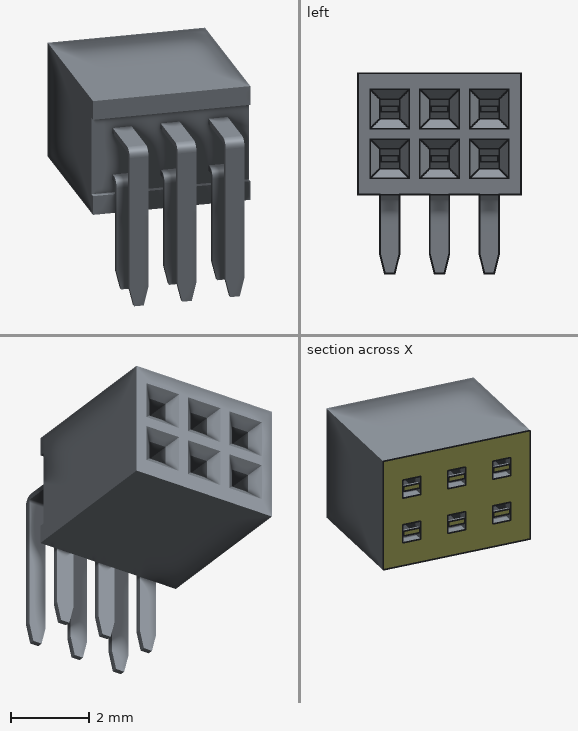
import cadquery as cq

PITCH = 1.27
COLUMNS = 3

BODY_LENGTH = 4.40
BODY_WIDTH = 4.16
BODY_HEIGHT = 3.10
RECESS_DEPTH = 0.15
LIP_HEIGHT = 0.51

FUNNEL_MOUTH = 1.00
SOCKET_SIZE = 0.50
SOCKET_DEPTH = 3.50

PIN_WIDTH = 0.50
PIN_THICKNESS = 0.15
BEND_INNER_RADIUS = 0.08
OVERALL_LENGTH = 5.89
TAIL_LENGTH = 2.02
TAIL_TAPER_LENGTH = 0.50
TAIL_TIP_WIDTH = 0.25
CONTACT_LENGTH = 0.20
CONTACT_TIP_WIDTH = 0.425
CONTACT_TAPER_LENGTH = 0.15

BACK_X = BODY_LENGTH - RECESS_DEPTH
FUNNEL_DEPTH = (FUNNEL_MOUTH - SOCKET_SIZE) / 2
CONTACT_TIP_X = SOCKET_DEPTH - CONTACT_LENGTH
LOWER_ROW_Z = (BODY_HEIGHT - PITCH) / 2
COLUMN_YS = [(i - (COLUMNS - 1) / 2) * PITCH for i in range(COLUMNS)]
ROWS = [
    (LOWER_ROW_Z, OVERALL_LENGTH - PITCH),
    (LOWER_ROW_Z + PITCH, OVERALL_LENGTH),
]


def make_housing():
    """Plain block with a full-width recess between two lips at the back."""
    block = cq.Workplane("XY").box(BODY_LENGTH, BODY_WIDTH, BODY_HEIGHT, centered=(False, True, False))
    recess = (
        cq.Workplane("XY")
        .box(RECESS_DEPTH, BODY_WIDTH, BODY_HEIGHT - 2 * LIP_HEIGHT, centered=(False, True, False))
        .translate((BACK_X, 0, LIP_HEIGHT))
    )
    return block.cut(recess)


def make_socket(y, z):
    """Cutter for one blind square socket with a funnel mouth."""
    funnel = (
        cq.Workplane("YZ")
        .center(y, z)
        .rect(FUNNEL_MOUTH, FUNNEL_MOUTH)
        .workplane(offset=FUNNEL_DEPTH)
        .rect(SOCKET_SIZE, SOCKET_SIZE)
        .loft(ruled=True)
    )
    bore = cq.Workplane("YZ").center(y, z).rect(SOCKET_SIZE, SOCKET_SIZE).extrude(SOCKET_DEPTH)
    return funnel.union(bore)


def make_bent_strip(y, z, tail_x):
    """Flat strip running back along X, then bent down to the tail end."""
    top = z + PIN_THICKNESS / 2
    height = top + TAIL_LENGTH
    length = tail_x - CONTACT_TIP_X
    outer = (
        cq.Workplane("XY")
        .box(length, PIN_WIDTH, height, centered=(False, True, False))
        .edges("|Y and >X and >Z")
        .fillet(BEND_INNER_RADIUS + PIN_THICKNESS)
    )
    inner = (
        cq.Workplane("XY")
        .box(length - PIN_THICKNESS, PIN_WIDTH, height - PIN_THICKNESS, centered=(False, True, False))
        .edges("|Y and >X and >Z")
        .fillet(BEND_INNER_RADIUS)
    )
    return outer.cut(inner).translate((CONTACT_TIP_X, y, -TAIL_LENGTH))


def taper_wedges(plane, tip_width, taper_length, depth):
    """Two side wedges that narrow a strip whose tip is at the local origin."""
    wedges = cq.Workplane(plane)
    for side in (-1, 1):
        corner = (side * PIN_WIDTH / 2, 0)
        wedge = (
            cq.Workplane(plane)
            .polyline([(side * tip_width / 2, 0), corner, (corner[0], taper_length)])
            .close()
            .extrude(depth, both=True)
        )
        wedges = wedges.add(wedge)
    return wedges.combine()


def make_pin(y, z, tail_x):
    """One contact with a tapered socket end and a tapered solder tail."""
    tail_centre_x = tail_x - PIN_THICKNESS / 2
    tail_plane = cq.Plane(origin=(tail_centre_x, y, -TAIL_LENGTH), xDir=(0, 1, 0), normal=(1, 0, 0))
    contact_plane = cq.Plane(origin=(CONTACT_TIP_X, y, z), xDir=(0, 1, 0), normal=(0, 0, -1))
    strip = make_bent_strip(y, z, tail_x)
    strip = strip.cut(taper_wedges(tail_plane, TAIL_TIP_WIDTH, TAIL_TAPER_LENGTH, PIN_THICKNESS))
    return strip.cut(taper_wedges(contact_plane, CONTACT_TIP_WIDTH, CONTACT_TAPER_LENGTH, PIN_THICKNESS))


result = make_housing()
for row_z, row_tail_x in ROWS:
    for column_y in COLUMN_YS:
        result = result.cut(make_socket(column_y, row_z))
        result = result.union(make_pin(column_y, row_z, row_tail_x))